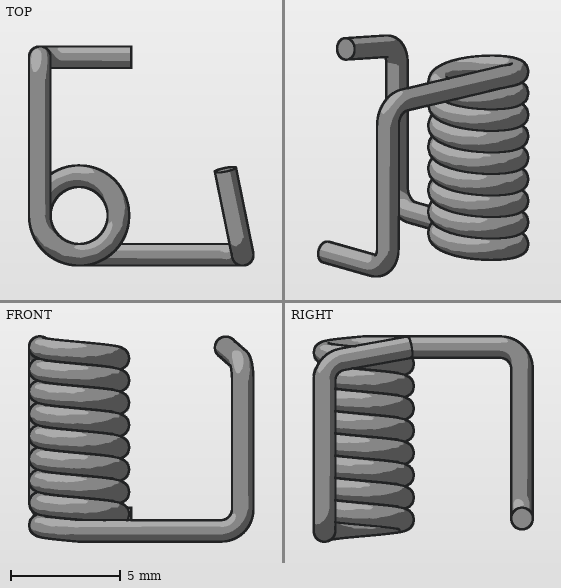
import cadquery as cq
import math

wire_diameter = 1.0
wire_radius = wire_diameter / 2
coil_radius = 1.8
turns = 8.25
coil_rise = 8.39
pitch = coil_rise / turns
bend_radius = 1.0

lower_corner_x = 7.47
lower_straight_up = 5.86
tip_rise_angle = 10
tip_swing_angle = 11.5
tip_straight = 3.19

upper_corner_y = 7.22
upper_hook_z = 0.56
upper_end_x = 2.39


def rounded_path(points):
    """Join points by straight lines with every inner corner rounded."""
    edges = []
    start = points[0]
    for corner, following in zip(points[1:-1], points[2:]):
        incoming = (corner - start).normalized()
        outgoing = (following - corner).normalized()
        turn = incoming.getAngle(outgoing)
        setback = bend_radius * math.tan(turn / 2)
        arc_start = corner - incoming * setback
        arc_end = corner + outgoing * setback
        inward = (outgoing - incoming).normalized()
        corner_gap = bend_radius / math.cos(turn / 2) - bend_radius
        arc_middle = corner + inward * corner_gap
        edges.append(cq.Edge.makeLine(start, arc_start))
        edges.append(cq.Edge.makeThreePointArc(arc_start, arc_middle, arc_end))
        start = arc_end
    edges.append(cq.Edge.makeLine(start, points[-1]))
    return cq.Wire.assembleEdges(edges)


def make_leg(points):
    """Sweep the round wire along a rounded path."""
    section = cq.Plane(origin=points[0], normal=points[1] - points[0])
    path = cq.Workplane(obj=rounded_path(points))
    return cq.Workplane(section).circle(wire_radius).sweep(path)


def make_coil():
    """Left-handed coil climbing from the -Y side to the -X side."""
    path = cq.Wire.makeHelix(pitch, coil_rise, coil_radius, lefthand=True)
    section = cq.Workplane("XZ").center(coil_radius, 0).circle(wire_radius)
    coil = section.sweep(cq.Workplane(obj=path), isFrenet=True)
    return coil.rotate((0, 0, 0), (0, 0, 1), -90)


def lower_leg_points():
    rise = math.radians(tip_rise_angle)
    swing = math.radians(tip_swing_angle)
    setback = bend_radius * math.tan((math.pi / 2 - rise) / 2)
    tip_direction = cq.Vector(
        -math.sin(swing) * math.cos(rise),
        math.cos(swing) * math.cos(rise),
        math.sin(rise),
    )
    upper_bend = cq.Vector(lower_corner_x, -coil_radius, bend_radius + lower_straight_up + setback)
    return [
        cq.Vector(0, -coil_radius, 0),
        cq.Vector(lower_corner_x, -coil_radius, 0),
        upper_bend,
        upper_bend + tip_direction * (setback + tip_straight),
    ]


def upper_leg_points():
    return [
        cq.Vector(-coil_radius, 0, coil_rise),
        cq.Vector(-coil_radius, upper_corner_y, coil_rise),
        cq.Vector(-coil_radius, upper_corner_y, upper_hook_z),
        cq.Vector(upper_end_x, upper_corner_y, upper_hook_z),
    ]


lower_leg = make_leg(lower_leg_points())
upper_leg = make_leg(upper_leg_points())
result = make_coil().union(lower_leg).union(upper_leg)